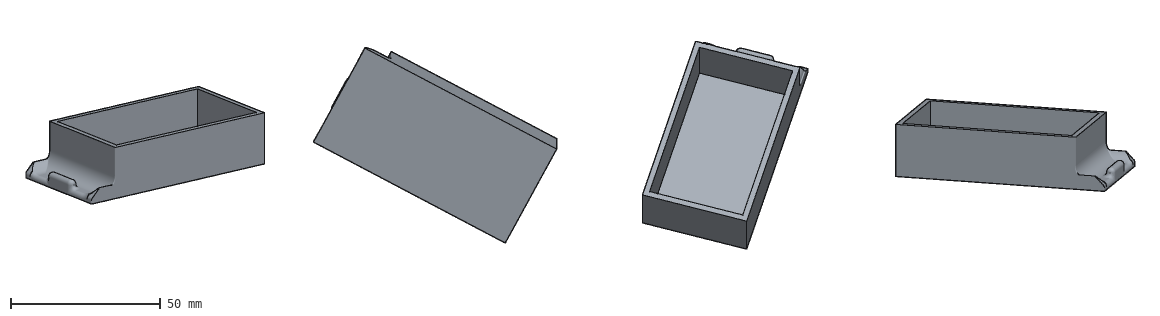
import cadquery as cq
import math

width = 36.5
length = 73.0
height = 18.0

wall = 2.0
tray_floor = 1.45

ledge_depth = 10.0
ledge_floor = 2.0
dish_radius = 6.0
side_flat_inset = 5.6
valley_radius = 0.6
lip_radius = 1.5
side_edge_radius = 0.25
corner_width = 2.5

grip_straight = 10.0
grip_radius = lip_radius

curve_top = ledge_floor + dish_radius
dish_back = ledge_depth - dish_radius
half_flat = width / 2 - side_flat_inset
half_span = half_flat + dish_radius
cos_45 = math.sqrt(0.5)
dish_diagonal = dish_radius * cos_45
lip_bottom = ledge_floor - lip_radius
grip_axis = ledge_floor + grip_radius
grip_half_span = grip_straight / 2 + grip_radius
grip_base_depth = 3.5 * grip_radius

clearance = 3.65
margin = 0.1


def box(x_size, y_min, y_max, z_min, z_max):
    """Box centred on X between the given Y and Z limits."""
    block = cq.Workplane("XY").box(
        x_size, y_max - y_min, z_max - z_min, centered=(True, False, False)
    )
    return block.translate((0, y_min, z_min))


def dish_cutter():
    """Space above the ledge, curving up into the tray front and towards both sides."""
    lengthwise = (
        cq.Workplane("YZ")
        .moveTo(-clearance, ledge_floor)
        .lineTo(dish_back, ledge_floor)
        .threePointArc(
            (dish_back + dish_diagonal, curve_top - dish_diagonal), (ledge_depth, curve_top)
        )
        .lineTo(ledge_depth, height + clearance)
        .lineTo(-clearance, height + clearance)
        .close()
        .extrude(width, both=True)
    )
    crosswise = (
        cq.Workplane("XZ")
        .moveTo(-half_flat, ledge_floor)
        .lineTo(half_flat, ledge_floor)
        .threePointArc(
            (half_flat + dish_diagonal, curve_top - dish_diagonal), (half_span, curve_top)
        )
        .lineTo(half_span, height + clearance)
        .lineTo(-half_span, height + clearance)
        .lineTo(-half_span, curve_top)
        .threePointArc(
            (-half_flat - dish_diagonal, curve_top - dish_diagonal), (-half_flat, ledge_floor)
        )
        .close()
        .extrude(length, both=True)
    )
    cutter = lengthwise.intersect(crosswise)
    valleys = [edge for edge in cutter.edges().vals() if edge.geomType() == "ELLIPSE"]
    return cutter.newObject(valleys).fillet(valley_radius)


def round_side_edges(body):
    """Round the edges where the dish and the front faces meet the two sides."""
    ahead_of_tray = cq.selectors.BoxSelector(
        (-width, -margin, margin), (width, ledge_depth + margin, height)
    )
    return body.faces("<X or >X").edges(ahead_of_tray).fillet(side_edge_radius)


def lip_side_cutter(side):
    """Rounds the lip where it follows the dish up towards one side (-1 or +1)."""
    return (
        cq.Workplane("YZ", origin=(side * half_flat, 0, 0))
        .moveTo(-clearance, lip_bottom)
        .lineTo(0, lip_bottom)
        .radiusArc((lip_radius, ledge_floor), lip_radius)
        .lineTo(lip_radius, ledge_floor + margin)
        .lineTo(-clearance, ledge_floor + margin)
        .close()
        .revolve(90, (0, curve_top, 0), (-side, curve_top, 0))
    )


def corner_cutter(side):
    """Slopes one front corner of the ledge at 45 degrees, starting from a round at the front."""
    from_flat = side_flat_inset - corner_width
    round_bottom = curve_top - math.sqrt((dish_radius + lip_radius) ** 2 - from_flat**2)
    slope_bottom = round_bottom + lip_radius * cos_45
    slope_start = lip_radius * (1 - cos_45)
    round_middle = math.pi / 8
    return (
        cq.Workplane("YZ", origin=(side * (width / 2 - corner_width), 0, 0))
        .moveTo(-clearance, round_bottom)
        .lineTo(0, round_bottom)
        .threePointArc(
            (
                lip_radius * (1 - math.cos(round_middle)),
                round_bottom + lip_radius * math.sin(round_middle),
            ),
            (slope_start, slope_bottom),
        )
        .line(clearance, clearance)
        .lineTo(-clearance, slope_bottom + clearance)
        .close()
        .extrude(side * width)
    )


def ledge_middle():
    """Flat middle of the ledge with its rounded lip and the finger grip blended onto it."""
    base = (
        cq.Workplane("YZ")
        .lineTo(grip_base_depth, 0)
        .lineTo(grip_base_depth, ledge_floor)
        .lineTo(lip_radius, ledge_floor)
        .radiusArc((0, lip_bottom), -lip_radius)
        .close()
        .extrude(half_flat, both=True)
    )
    post = (
        cq.Workplane("XY")
        .center(0, grip_radius)
        .slot2D(2 * grip_half_span, 2 * grip_radius)
        .extrude(grip_axis + clearance)
    )
    foot = cq.selectors.BoxSelector(
        (-grip_half_span, margin, lip_bottom - margin),
        (grip_half_span, 2 * grip_radius + margin, ledge_floor + margin),
    )
    middle = base.union(post).edges(foot).fillet(grip_radius)

    above_axis = box(width, -margin, ledge_depth, grip_axis, height)
    bar = (
        cq.Workplane("YZ", origin=(-grip_straight / 2, grip_radius, grip_axis))
        .circle(grip_radius)
        .extrude(grip_straight)
    )
    middle = middle.cut(above_axis).union(bar)
    for side in (-1, 1):
        end = cq.Workplane("XY").sphere(grip_radius)
        middle = middle.union(end.translate((side * grip_straight / 2, grip_radius, grip_axis)))
    return middle


body = box(width, 0, length, 0, height).cut(dish_cutter())
body = round_side_edges(body)
for side in (-1, 1):
    body = body.cut(lip_side_cutter(side))
    body = body.cut(corner_cutter(side))

body = body.cut(box(2 * half_flat, 0, grip_base_depth, 0, ledge_floor))
body = body.union(ledge_middle(), clean=False)

tray = box(width - 2 * wall, ledge_depth + wall, length - wall, tray_floor, height + clearance)
result = body.cut(tray, clean=False).clean()